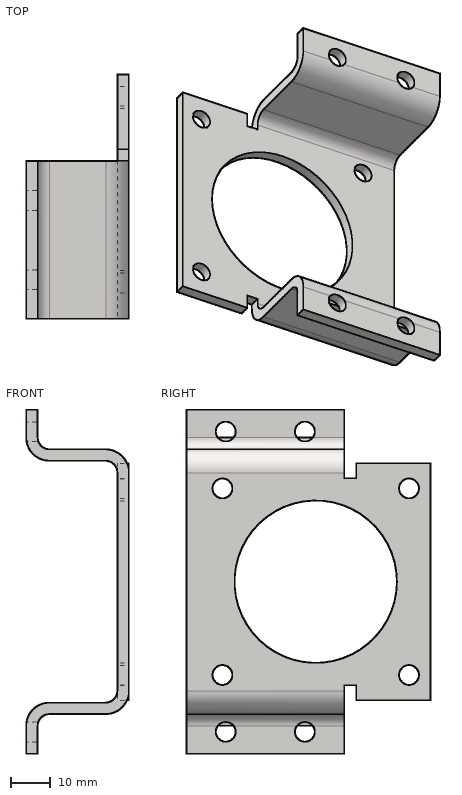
import cadquery as cq

depth = 26.0
height = 87.1
plate_width = 61.8
bent_width = 40.0
plate_height = 60.0

thickness = 3.0
inner_radius = 3.0
outer_radius = inner_radius + thickness
web_outer_z = 33.5
web_inner_z = web_outer_z - thickness

notch_width = 3.0
notch_floor_z = 26.2

motor_y = 32.75
opening_diameter = 41.0
screw_diameter = 5.0
motor_screw_spacing = 47.2
flange_screw_spacing = 20.0
flange_screw_z = 38.0


def box(x_size, y_range, z_range):
    """Box ending at the outer plate face, spanning the given Y and Z ranges."""
    y_low, y_high = y_range
    z_low, z_high = z_range
    return cq.Workplane("XY").box(
        x_size, y_high - y_low, z_high - z_low, centered=False
    ).translate((depth - x_size, y_low, z_low))


def x_drill(diameter, points, x_end):
    """Cylinders along X, from the flange face to x_end, at (Y, Z) points."""
    return cq.Workplane("YZ").pushPoints(points).circle(diameter / 2).extrude(x_end)


def bent_half():
    """Upper half of the hat section: plate, web and flange with both bends."""
    half_height = height / 2
    profile = (
        cq.Workplane("XZ")
        .moveTo(depth, 0)
        .lineTo(depth, web_outer_z - outer_radius)
        .radiusArc((depth - outer_radius, web_outer_z), -outer_radius)
        .lineTo(outer_radius, web_outer_z)
        .radiusArc((thickness, web_outer_z + inner_radius), inner_radius)
        .lineTo(thickness, half_height)
        .lineTo(0, half_height)
        .lineTo(0, web_inner_z + outer_radius)
        .radiusArc((outer_radius, web_inner_z), -outer_radius)
        .lineTo(depth - outer_radius, web_inner_z)
        .radiusArc((depth - thickness, web_inner_z - inner_radius), inner_radius)
        .lineTo(depth - thickness, 0)
        .close()
    )
    return profile.extrude(-bent_width)


upper_half = bent_half()
body = upper_half.union(upper_half.mirror("XY"))
plate = box(thickness, (bent_width, plate_width), (-plate_height / 2, plate_height / 2))
body = body.union(plate)

notch_y = (bent_width, bent_width + notch_width)
notch = box(thickness, notch_y, (notch_floor_z, plate_height / 2))
body = body.cut(notch).cut(notch.mirror("XY"))

body = body.cut(x_drill(opening_diameter, [(motor_y, 0)], depth))
motor_offset = motor_screw_spacing / 2
motor_points = [
    (motor_y + side * motor_offset, end * motor_offset) for side in (-1, 1) for end in (-1, 1)
]
body = body.cut(x_drill(screw_diameter, motor_points, depth))

flange_points = [
    (bent_width / 2 + side * flange_screw_spacing / 2, end * flange_screw_z)
    for side in (-1, 1)
    for end in (-1, 1)
]
result = body.cut(x_drill(screw_diameter, flange_points, thickness))